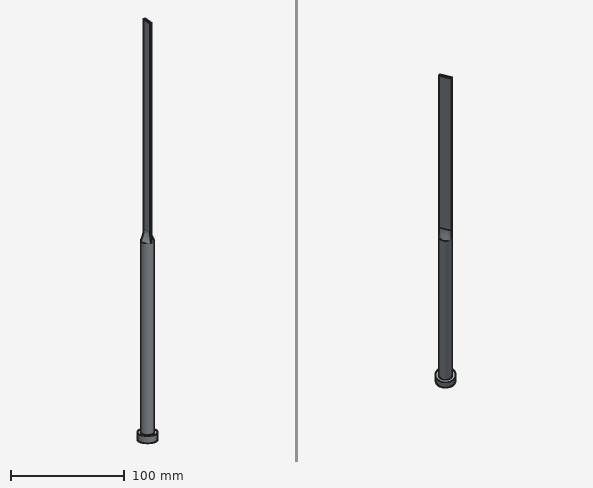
import cadquery as cq

total_length = 400.0
head_diameter = 18.0
head_height = 7.0
shank_diameter = 12.0
blade_width = 11.5
blade_thickness = 2.0
blade_length = total_length / 2
transition_length = 10.0

blade_start = total_length - blade_length
transition_start = blade_start - transition_length


def make_cylinder(diameter, bottom, top):
    """Round section centred on the pin axis."""
    base = cq.Workplane("XY").workplane(offset=bottom)
    return base.circle(diameter / 2).extrude(top - bottom)


def make_transition():
    """Loft from the round shank to the rectangular blade section."""
    return (
        cq.Workplane("XY")
        .workplane(offset=transition_start)
        .circle(shank_diameter / 2)
        .workplane(offset=transition_length)
        .rect(blade_width, blade_thickness)
        .loft(ruled=True)
    )


def make_blade():
    """Flat blade whose broad faces look along Y."""
    base = cq.Workplane("XY").workplane(offset=blade_start)
    return base.rect(blade_width, blade_thickness).extrude(blade_length)


head = make_cylinder(head_diameter, 0, head_height)
shank = make_cylinder(shank_diameter, head_height, transition_start)

result = head.union(shank).union(make_transition()).union(make_blade())